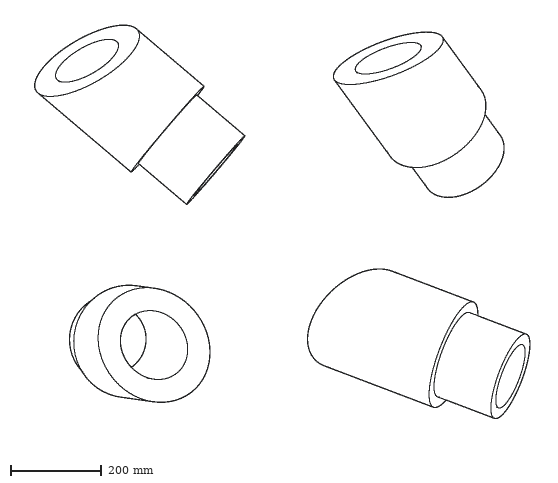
import cadquery as cq
import math

sleeve_diameter = 250.0
spigot_diameter = 200.0
bore_diameter = 150.0

sleeve_length = 234.5
spigot_length = 140.0

axis_yaw = 10.0
axis_fall = 23.6
cut_slope = 37.9

pipe_length = sleeve_length + spigot_length

cut_angle = math.radians(axis_fall + cut_slope)
cut_overhang = sleeve_diameter / 2 / math.tan(cut_angle)

spare_length = 2 * cut_overhang
trim_size = 2 * (sleeve_diameter + spare_length)


def rod(diameter, start, end):
    """Cylinder on the X axis between two stations."""
    return cq.Workplane("YZ", origin=(start, 0, 0)).circle(diameter / 2).extrude(end - start)


def tilt_down(body, angle):
    """Turn a body about the Y axis so that its +X end falls."""
    return body.rotate((0, 0, 0), (0, 1, 0), angle)


def make_pipe():
    """Straight stepped pipe with a through bore."""
    sleeve = rod(sleeve_diameter, -spare_length, sleeve_length)
    spigot = rod(spigot_diameter, sleeve_length, pipe_length)
    bore = rod(bore_diameter, -spare_length, pipe_length)
    return sleeve.union(spigot).cut(bore)


def make_trim_block():
    """Block above the sloping cut, with its lower face through the origin."""
    block = cq.Workplane("XY").rect(trim_size, trim_size).extrude(trim_size)
    return tilt_down(block, -cut_slope)


mitred_pipe = tilt_down(make_pipe(), axis_fall).cut(make_trim_block())
result = mitred_pipe.rotate((0, 0, 0), (0, 0, 1), -axis_yaw)